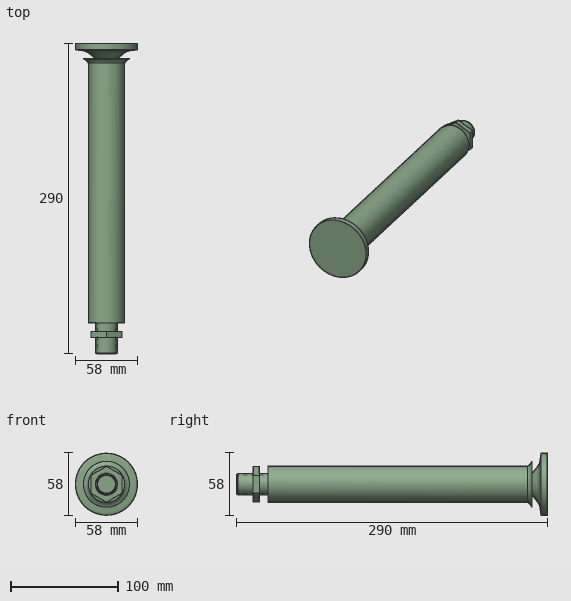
import cadquery as cq
import math

total_length = 290.0
disc_diameter = 58.0

disc_rim_width = 5.8
disc_shoulder_diameter = 54.0
disc_shoulder_drop = 0.5
cone_base_diameter = 37.7
cone_base_drop = 1.0
cone_blend_radius = 10.2
neck_diameter = 21.0

body_diameter = 34.0
collar_diameter = 43.0
collar_face_depth = 14.2
collar_edge_width = 0.3
collar_length = 4.4
flare_sag = 0.5
stud_length = 29.3

stud_diameter = 20.3
stud_chamfer = 1.2
bore_diameter = 16.8
nut_across_flats = 29.0
nut_thickness = 5.8
nut_offset = 15.5

disc_rim_y = total_length - disc_rim_width
shoulder_y = disc_rim_y - disc_shoulder_drop
cone_base_y = shoulder_y - cone_base_drop
collar_face_y = total_length - collar_face_depth
collar_edge_y = collar_face_y - collar_edge_width
body_top_y = collar_face_y - collar_length


def flare_midpoint():
    """Middle of the hollow arc from the collar edge down to the body."""
    dr = (collar_diameter - body_diameter) / 2
    dy = collar_edge_y - body_top_y
    chord = math.hypot(dr, dy)
    middle_radius = (collar_diameter + body_diameter) / 4
    middle_y = (collar_edge_y + body_top_y) / 2
    return middle_radius - flare_sag * dy / chord, middle_y + flare_sag * dr / chord


def turned_profile():
    """Solid of revolution: stud, body, collar, neck and disc."""
    return (
        cq.Workplane("XY")
        .moveTo(0, 0)
        .lineTo(stud_diameter / 2 - stud_chamfer, 0)
        .lineTo(stud_diameter / 2, stud_chamfer)
        .lineTo(stud_diameter / 2, stud_length)
        .lineTo(body_diameter / 2, stud_length)
        .lineTo(body_diameter / 2, body_top_y)
        .threePointArc(flare_midpoint(), (collar_diameter / 2, collar_edge_y))
        .lineTo(collar_diameter / 2, collar_face_y)
        .lineTo(neck_diameter / 2, collar_face_y)
        .lineTo(cone_base_diameter / 2, cone_base_y)
        .lineTo(disc_shoulder_diameter / 2, shoulder_y)
        .lineTo(disc_diameter / 2, disc_rim_y)
        .lineTo(disc_diameter / 2, total_length)
        .lineTo(0, total_length)
        .close()
        .revolve(360, (0, 0, 0), (0, 1, 0))
    )


def blend_cone(part):
    """Round the hollow corner where the cone meets the disc."""
    reach = cone_base_diameter
    corner = cq.selectors.BoxSelector(
        (-reach, cone_base_y - cone_base_drop / 2, -reach),
        (reach, cone_base_y + cone_base_drop / 2, reach),
        boundingbox=True,
    )
    return part.edges("%Circle").edges(corner).fillet(cone_blend_radius)


def hexagon_nut():
    """Nut on the stud, with one pair of flats facing +X and -X."""
    corner_diameter = nut_across_flats / math.cos(math.pi / 6)
    return (
        cq.Workplane("XZ", origin=(0, nut_offset + nut_thickness, 0))
        .transformed(rotate=(0, 0, 90))
        .polygon(6, corner_diameter)
        .extrude(nut_thickness)
    )


def stud_bore():
    """Blind bore from the stud tip to the end face of the body."""
    return cq.Workplane("XZ").circle(bore_diameter / 2).extrude(-stud_length)


result = blend_cone(turned_profile()).union(hexagon_nut()).cut(stud_bore())